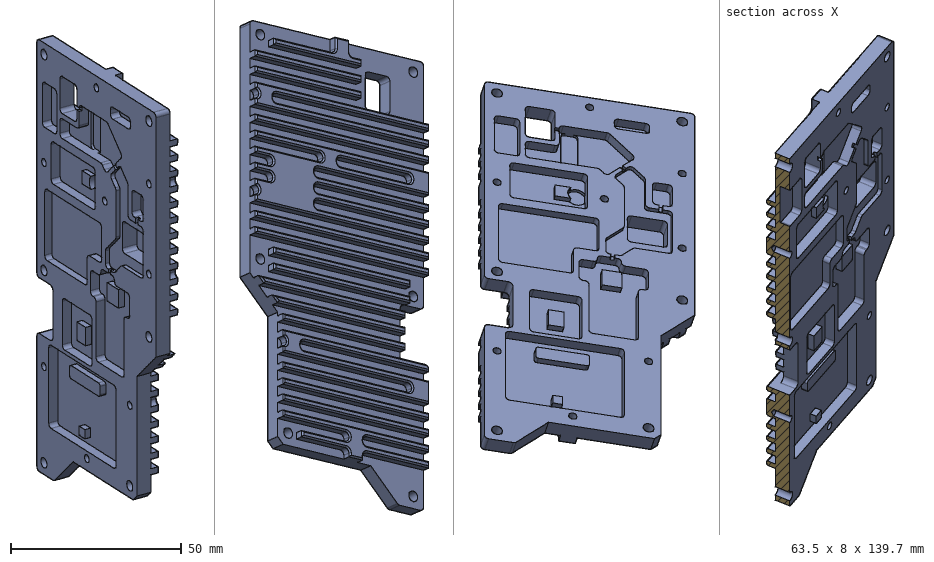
import cadquery as cq
import math


width = 63.5
height = 139.7
base_thickness = 5.0
fin_height = 3.0
total_thickness = base_thickness + fin_height

notch_depth = 8.6
notch_top, notch_bottom = 77.0, 95.0
narrow_width = 53.34
right_diagonal_top = 78.75
body_bottom = 129.6
corner_cut = 2.0
tail_width = 9.25
outer_radius = 1.27
notch_inner_radius = 1.6

edge_inset = 3.81
through_hole_diameter = 3.2
blind_hole_diameter = 2.4
blind_hole_depth = 5.5
drill_tip_angle = 118
far_x = width - edge_inset
middle_hole_down = 73.66
lower_right_hole = (narrow_width - edge_inset, body_bottom - 3.87)
tail_hole = (edge_inset, height - edge_inset)
through_holes = [
    (edge_inset, edge_inset),
    (far_x, edge_inset),
    (edge_inset, middle_hole_down),
    (far_x, middle_hole_down),
    lower_right_hole,
    tail_hole,
]
left_row_down = (edge_inset + middle_hole_down) / 2
blind_top = (width / 2, edge_inset)
blind_right_upper = (far_x, 24.13)
blind_left_upper = (edge_inset, left_row_down)
blind_centre = (36.2, left_row_down)
blind_right_lower = (far_x, 53.34)
blind_left_lower = (edge_inset, (middle_hole_down + tail_hole[1]) / 2)
blind_narrow = (lower_right_hole[0], (middle_hole_down + lower_right_hole[1]) / 2)
blind_bottom = ((edge_inset + lower_right_hole[0]) / 2, lower_right_hole[1])
blind_holes = [
    blind_top, blind_right_upper, blind_left_upper, blind_centre,
    blind_right_lower, blind_left_lower, blind_narrow, blind_bottom,
]

fin_pitch = 5.0
fin_thickness = 2.0
first_fin_down = 6.0
fin_count = 25
gap_width = fin_pitch - fin_thickness
gap_end_radius = 1.45
fin_chamfer = 0.5
boss_half_width = 2.5
hole_clearance = 3.0
beyond = 12.0

pocket_radius = 1.25
window = (12.36, 21.31, 7.16, 19.1)
deep_pocket = (43.48, 55.54, 42.54, 52.77)
deep_pocket_floor = 6.5
pocket_depth = 3.2
corner_pocket_depth = 2.5
filter_depth = 3.3
strip_depth = 4.2
channel_depth = 1.4
recess_depth = 4.2
pedestal_top = 1.15
low_pedestal_top = 1.6
bar_radius = 0.8
link_width = 1.15
link_depth = 1.0
row_top, row_bottom = 12.7, 27.2
deep_pocket_wall = 1.5
window_land = 3.4


def prism(points, y_start, y_end, radius=0.0):
    """Extrude an outline of (x, down) points between two Y levels, rounding its corners."""
    outline = [(x, height - down) for x, down in points]
    solid = cq.Workplane("XZ", origin=(0, y_start, 0)).polyline(outline).close().extrude(y_start - y_end)
    if radius:
        solid = solid.edges("|Y").fillet(radius)
    return solid


def block(box, y_start, y_end, radius=0.0):
    """Rectangular prism from (left, right, top, bottom)."""
    left, right, top, bottom = box
    corners = [(left, top), (right, top), (right, bottom), (left, bottom)]
    return prism(corners, y_start, y_end, radius)


def cylinder(centre, diameter, y_start, y_end):
    x, down = centre
    plane = cq.Workplane("XZ", origin=(x, y_start, height - down))
    return plane.circle(diameter / 2).extrude(y_start - y_end)


def round_corners(solid, corners, radius):
    """Fillet the Y-parallel edges that stand at the given (x, down) corners."""
    for x, down in corners:
        near = cq.selectors.BoxSelector(
            (x - 0.1, -beyond, height - down - 0.1), (x + 0.1, beyond, height - down + 0.1)
        )
        solid = solid.edges("|Y").edges(near).fillet(radius)
    return solid


def plate(y_start, y_end):
    diagonal_run = width - narrow_width
    tail_run = height - body_bottom
    top_corners = [(0, 0), (width, 0)]
    notch_outer = [(0, notch_top), (0, notch_bottom)]
    notch_inner = [(notch_depth, notch_bottom), (notch_depth, notch_top)]
    tail_corners = [(tail_width, height), (0, height)]
    outline = top_corners + [
        (width, right_diagonal_top),
        (narrow_width, right_diagonal_top + diagonal_run),
        (narrow_width, body_bottom - corner_cut),
        (narrow_width - corner_cut, body_bottom),
        (tail_width + tail_run, body_bottom),
    ] + tail_corners + [notch_outer[1]] + notch_inner + [notch_outer[0]]
    solid = prism(outline, y_start, y_end)
    solid = round_corners(solid, top_corners + notch_outer + tail_corners, outer_radius)
    return round_corners(solid, notch_inner, notch_inner_radius)


def boss_span(hole):
    return (hole[0] - boss_half_width, hole[0] + boss_half_width)


def edge_boss_span(hole):
    """A boss that runs out to the left edge of the plate."""
    return (-beyond, hole[0] + boss_half_width)


deep_pad = (deep_pocket[0] - deep_pocket_wall, deep_pocket[1] + deep_pocket_wall)
gap_spans = {
    3: [boss_span(blind_right_upper)],
    6: [edge_boss_span(blind_left_upper), boss_span(blind_centre)],
    7: [deep_pad],
    8: [deep_pad],
    9: [(deep_pad[0], boss_span(blind_right_lower)[1])],
    18: [boss_span(blind_narrow)],
    19: [edge_boss_span(blind_left_lower)],
    23: [boss_span(blind_bottom)],
}


def open_stretches(kept):
    """Stretches of X left free between the kept spans."""
    stretches = []
    start = -beyond
    for left, right in kept:
        if left > start:
            stretches.append((start, left))
        start = right
    stretches.append((start, width + beyond))
    return stretches


def gap_centre(gap):
    """Distance down to the middle of a gap; gap 0 lies below fin 0."""
    return first_fin_down + (gap + 0.5) * fin_pitch


def fins():
    solid = plate(base_thickness, total_thickness)
    last_fin_bottom = first_fin_down + (fin_count - 1) * fin_pitch + fin_thickness / 2
    first_fin_top = first_fin_down - fin_thickness / 2

    cuts = []
    for gap in range(fin_count - 1):
        centre = gap_centre(gap)
        for left, right in open_stretches(gap_spans.get(gap, [])):
            box = (left, right, centre - gap_width / 2, centre + gap_width / 2)
            cuts.append(block(box, base_thickness, total_thickness, gap_end_radius))
    for left, right in open_stretches([boss_span(blind_top)]):
        box = (left, right, -beyond, first_fin_top)
        cuts.append(block(box, base_thickness, total_thickness, gap_end_radius))
    for left, right in open_stretches([boss_span(blind_bottom)]):
        box = (left, right, last_fin_bottom, height + beyond)
        cuts.append(block(box, base_thickness, total_thickness, gap_end_radius))
    below_body = (-beyond, width + beyond, body_bottom, height + beyond)
    cuts.append(block(below_body, base_thickness, total_thickness))

    near_left = edge_inset + hole_clearance
    near_right = far_x - hole_clearance
    near_lower_right = lower_right_hole[0] - hole_clearance
    clear_zones = [
        (-beyond, window[1] + window_land, -beyond, gap_centre(2)),
        (near_right, width + beyond, -beyond, gap_centre(0)),
        (-beyond, near_left, gap_centre(12), gap_centre(14)),
        (near_right, width + beyond, gap_centre(12), gap_centre(14)),
        (near_lower_right, width + beyond, gap_centre(23), height + beyond),
    ]
    cuts += [block(zone, base_thickness, total_thickness) for zone in clear_zones]
    for cut in cuts:
        solid = solid.cut(cut)
    return solid.faces(">Y").edges().chamfer(fin_chamfer)


def filter_pocket():
    """Pocket beside the window, with a deeper strip across it."""
    outline = [
        (window[0], 20.8), (window[0], 27.2), (34.53, 27.2), (36.87, 29.54),
        (45.61, 20.8), (37.51, row_top), (22.59, row_top), (22.59, 20.8),
    ]
    strip = (23.87, 28.99, row_top, row_bottom)
    pocket = prism(outline, 0, filter_depth, pocket_radius)
    return pocket.union(block(strip, 0, strip_depth, pocket_radius))


def channel_pocket():
    """Shallow winding channel with a deep square pocket in its floor."""
    outline = [
        (44.25, 24.04), (48.59, 28.39), (48.59, 39.56), (56.69, 39.56), (56.69, 56.18), (45.1, 56.18),
        (41.26, 60.02), (36.66, 60.02), (36.66, 54.13), (42.2, 48.59), (42.2, 32.61), (38.96, 29.37),
    ]
    pocket = prism(outline, 0, channel_depth, pocket_radius)
    return pocket.union(block(deep_pocket, 0, deep_pocket_floor, pocket_radius))


def recess_pocket():
    """Rectangular pocket with a low pedestal beside a round recess in its floor."""
    outer = (7.67, 31.12, 30.18, 43.82)
    recess_centre = (28.56, 37.0)
    recess_diameter = 6.0
    pedestal = (21.74, recess_centre[0], 34.87, 39.13)
    pocket = block(outer, 0, pocket_depth, pocket_radius)
    pocket = pocket.cut(block(pedestal, low_pedestal_top, pocket_depth))
    recess = cylinder(recess_centre, recess_diameter, 0, recess_depth)
    return pocket.union(recess.intersect(block(outer, 0, recess_depth)))


def corner_pocket():
    outline = [
        (4.26, 46.8), (34.53, 46.8), (34.53, 59.59), (26.85, 59.59), (26.85, 69.82), (4.26, 69.82),
    ]
    return prism(outline, 0, corner_pocket_depth, pocket_radius)


def cross_pocket():
    outline = [
        (34.1, 61.3), (41.35, 61.3), (41.35, 63.85), (49.45, 63.85), (49.45, 71.95), (46.46, 71.95),
        (46.46, 92.15), (31.54, 92.15), (31.54, 71.95), (28.56, 71.95), (28.56, 63.85), (34.1, 63.85),
    ]
    pedestal = (35.81, 41.77, 65.56, 71.53)
    pocket = prism(outline, 0, pocket_depth, pocket_radius)
    return pocket.cut(block(pedestal, pedestal_top, pocket_depth))


def square_pocket():
    pedestal = (19.61, 24.3, 84.5, 90.45)
    pocket = block((13.64, 29.41, 78.6, 95.15), 0, pocket_depth, pocket_radius)
    return pocket.cut(block(pedestal, pedestal_top, pocket_depth))


def lower_pocket():
    """Largest pocket, with a rounded bar and a small square pedestal standing in it."""
    bar = (15.77, 31.97, 99.8, 104.1)
    pedestal = (20.89, 23.87, 117.75, 120.75)
    pocket = block((6.39, 42.2, 96.4, 123.3), 0, pocket_depth, pocket_radius)
    pocket = pocket.cut(block(bar, pedestal_top, pocket_depth, bar_radius))
    return pocket.cut(block(pedestal, pedestal_top, pocket_depth))


def plain_pockets():
    return [
        block((39.22, 49.87, 6.73, 10.57), 0, pocket_depth, pocket_radius),
        block((2.98, 10.66, row_top, row_bottom), 0, pocket_depth, pocket_radius),
        block((50.72, 56.69, 29.33, 37.85), 0, pocket_depth, pocket_radius),
    ]


def link(start, end):
    """Narrow shallow groove between two (x, down) points."""
    run, drop = end[0] - start[0], end[1] - start[1]
    length = math.hypot(run, drop)
    middle = ((start[0] + end[0]) / 2, height - (start[1] + end[1]) / 2)
    groove = cq.Workplane("XZ").rect(length, link_width).extrude(-link_depth)
    groove = groove.rotate((0, 0, 0), (0, 1, 0), math.degrees(math.atan2(drop, run)))
    return groove.translate((middle[0], 0, middle[1]))


def links():
    """Grooves joining neighbouring pockets; their ends lie inside those pockets."""
    return [
        link((21.0, 14.4), (23.0, 14.4)),
        link((40.9, 24.6), (42.7, 26.4)),
        link((53.28, 37.3), (53.28, 40.0)),
        link((38.75, 59.5), (38.75, 61.8)),
    ]


def blind_hole(centre):
    radius = blind_hole_diameter / 2
    tip = radius / math.tan(math.radians(drill_tip_angle / 2))
    x, down = centre
    profile = [(0, 0), (radius, 0), (radius, blind_hole_depth), (0, blind_hole_depth + tip)]
    drill = cq.Workplane("XY").polyline(profile).close().revolve(360, (0, 0, 0), (0, 1, 0))
    return drill.translate((x, 0, height - down))


result = plate(0, base_thickness).union(fins())
pockets = [filter_pocket(), channel_pocket(), recess_pocket(), corner_pocket(), cross_pocket()]
pockets += [square_pocket(), lower_pocket()] + plain_pockets() + links()
for pocket in pockets:
    result = result.cut(pocket)
result = result.cut(block(window, 0, total_thickness, pocket_radius))
for hole in through_holes:
    result = result.cut(cylinder(hole, through_hole_diameter, 0, total_thickness))
for hole in blind_holes:
    result = result.cut(blind_hole(hole))